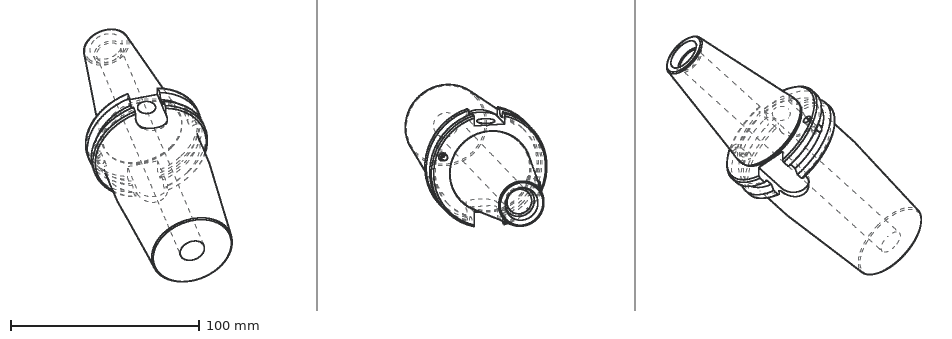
import cadquery as cq
import math

total_length = 168.2
gauge_x = 67.8
gauge_radius = 22.2
taper_slope = 7 / 48
small_end_chamfer = 0.7
small_end_radius = gauge_radius - gauge_x * taper_slope

gauge_land_end = 69.3
relief_x = 70.3
relief_radius = 21.79

flange_start = 70.8
flange_end = 87.3
flange_radius = 31.6
flange_chamfer = 1.0
groove_center = 79.2
groove_floor_width = 3.7
groove_wall_run = 1.9
groove_radius = 28.3
groove_floor_start = groove_center - groove_floor_width / 2
groove_floor_end = groove_center + groove_floor_width / 2

body_radius = 26.5
body_fillet = 2.2
body_taper_start = 111.2
nose_radius = 22.2
nose_chamfer = 0.7
nose_slope = (body_radius - nose_radius) / (total_length - body_taper_start)

mouth_diameter = 17.8
counterbore_diameter = 16.3
mouth_taper_depth = 2.5
counterbore_depth = 5.0
bore_diameter = 13.5

slot_width = 16.7
slot_end_x = 97.6
upper_slot_floor = 25.0
lower_slot_floor = 22.4

dimple_x = 79.2
dimple_diameter = 9.6
dimple_tip_angle = 118

coolant_angle = 19.5
pocket_circle_radius = 27.3
pocket_diameter = 4.2
pocket_depth = 1.7
drilling_circle_radius = 26.0
drilling_diameter = 3.2
drilling_depth = groove_center - flange_start
screw_diameter = 4.0
screw_floor_radius = 24.4


def revolved_body():
    start_fillet_x = flange_end + body_fillet
    fillet_middle = body_fillet * (1 - math.sqrt(0.5))
    return (
        cq.Workplane("XY")
        .moveTo(0, 0)
        .lineTo(0, small_end_radius - small_end_chamfer)
        .lineTo(small_end_chamfer, small_end_radius + small_end_chamfer * taper_slope)
        .lineTo(gauge_x, gauge_radius)
        .lineTo(gauge_land_end, gauge_radius)
        .lineTo(relief_x, relief_radius)
        .lineTo(flange_start, relief_radius)
        .lineTo(flange_start, flange_radius - flange_chamfer)
        .lineTo(flange_start + flange_chamfer, flange_radius)
        .lineTo(groove_floor_start - groove_wall_run, flange_radius)
        .lineTo(groove_floor_start, groove_radius)
        .lineTo(groove_floor_end, groove_radius)
        .lineTo(groove_floor_end + groove_wall_run, flange_radius)
        .lineTo(flange_end - flange_chamfer, flange_radius)
        .lineTo(flange_end, flange_radius - flange_chamfer)
        .lineTo(flange_end, body_radius + body_fillet)
        .threePointArc(
            (flange_end + fillet_middle, body_radius + fillet_middle),
            (start_fillet_x, body_radius),
        )
        .lineTo(body_taper_start, body_radius)
        .lineTo(total_length - nose_chamfer, nose_radius + nose_chamfer * nose_slope)
        .lineTo(total_length, nose_radius - nose_chamfer)
        .lineTo(total_length, 0)
        .close()
        .revolve(360, (0, 0, 0), (1, 0, 0))
    )


def stepped_bore():
    counterbore_radius = counterbore_diameter / 2
    bore_radius = bore_diameter / 2
    return (
        cq.Workplane("XY")
        .moveTo(0, 0)
        .lineTo(0, mouth_diameter / 2)
        .lineTo(mouth_taper_depth, counterbore_radius)
        .lineTo(counterbore_depth, counterbore_radius)
        .lineTo(counterbore_depth, bore_radius)
        .lineTo(total_length, bore_radius)
        .lineTo(total_length, 0)
        .close()
        .revolve(360, (0, 0, 0), (1, 0, 0))
    )


def drive_slot(floor, side):
    """Round-ended slot open to the rear; side is +1 for +Z and -1 for -Z."""
    half_width = slot_width / 2
    arc_x = slot_end_x - half_width
    return (
        cq.Workplane("XY", origin=(0, 0, side * floor))
        .moveTo(flange_start, -half_width)
        .lineTo(arc_x, -half_width)
        .threePointArc((slot_end_x, 0), (arc_x, half_width))
        .lineTo(flange_start, half_width)
        .close()
        .extrude(side * (flange_radius - floor))
    )


def dimple():
    radius = dimple_diameter / 2
    depth = radius / math.tan(math.radians(dimple_tip_angle / 2))
    top = cq.Vector(dimple_x, 0, upper_slot_floor)
    return cq.Solid.makeCone(radius, 0, depth, top, cq.Vector(0, 0, -1))


def coolant_hole(angle):
    """Pocket, drilling and screw hole, angle measured from +Y toward +Z."""
    outward = cq.Vector(0, math.cos(math.radians(angle)), math.sin(math.radians(angle)))

    def axial_hole(diameter, depth, circle_radius):
        center = cq.Vector(flange_start, 0, 0) + outward * circle_radius
        return cq.Solid.makeCylinder(diameter / 2, depth, center, cq.Vector(1, 0, 0))

    pocket = axial_hole(pocket_diameter, pocket_depth, pocket_circle_radius)
    drilling = axial_hole(drilling_diameter, drilling_depth, drilling_circle_radius)
    screw_base = cq.Vector(groove_center, 0, 0) + outward * screw_floor_radius
    screw_length = flange_radius - screw_floor_radius
    screw = cq.Solid.makeCylinder(screw_diameter / 2, screw_length, screw_base, outward)
    return pocket.fuse(drilling, screw)


result = revolved_body().cut(stepped_bore())
result = result.cut(drive_slot(upper_slot_floor, 1))
result = result.cut(drive_slot(lower_slot_floor, -1))
result = result.cut(dimple())
for hole_angle in (coolant_angle, coolant_angle + 180):
    result = result.cut(coolant_hole(hole_angle))